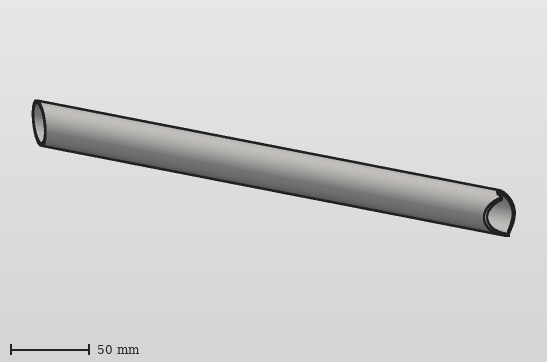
import cadquery as cq
import math

overall_length = 372.0
tube_diameter = 28.0
wall = 1.5
tube_tilt = 0.5
mitre_angle = 45.0

mitre_tip_y = -2.2
saddle_radius = 14.0
saddle_floor_x = 178.5
saddle_center_y = 7.5
saddle_lean = -0.32

tube_radius = tube_diameter / 2
bore_radius = tube_radius - wall
half_length = overall_length / 2
cutter_size = 2 * tube_diameter
mitre_slope = math.tan(math.radians(mitre_angle))


def make_tube():
    """Straight tube along a slightly rising axis, longer than the finished part."""
    tilt = math.radians(tube_tilt)
    stock_length = overall_length + 2 * tube_diameter
    direction = cq.Vector(math.cos(tilt), 0, math.sin(tilt))
    start = direction * (-stock_length / 2)
    plane = cq.Plane(origin=start, xDir=(-math.sin(tilt), 0, math.cos(tilt)), normal=direction)
    return cq.Workplane(plane).circle(tube_radius).circle(bore_radius).extrude(stock_length)


def mitre_cutter(apex_x, apex_y, outward):
    """Vertical prism beyond a mitre plane; outward is -1 at the near end and +1 at the far end."""
    reach = cutter_size
    shift = reach * mitre_slope
    low = (apex_x - outward * shift, apex_y - reach)
    high = (apex_x + outward * shift, apex_y + reach)
    clear_x = apex_x + outward * 2 * shift
    outline = [low, high, (clear_x, high[1]), (clear_x, low[1])]
    return cq.Workplane("XY").polyline(outline).close().extrude(cutter_size / 2, both=True)


def saddle_cutter():
    """Leaning cylinder, with everything beyond its axis, that bites into the far end."""
    axis = cq.Vector(saddle_lean, 0, 1)
    center = cq.Vector(saddle_floor_x + saddle_radius, saddle_center_y, 0)
    plane = cq.Plane(origin=center, xDir=cq.Vector(1, 0, -saddle_lean), normal=axis)
    cylinder = cq.Workplane(plane).circle(saddle_radius).extrude(cutter_size, both=True)
    beyond = (
        cq.Workplane(plane)
        .center(cutter_size / 2, 0)
        .rect(cutter_size, 2 * saddle_radius)
        .extrude(cutter_size, both=True)
    )
    return cylinder.union(beyond)


result = (
    make_tube()
    .cut(mitre_cutter(-half_length, tube_radius, -1))
    .cut(mitre_cutter(half_length, mitre_tip_y, 1))
    .cut(saddle_cutter())
)